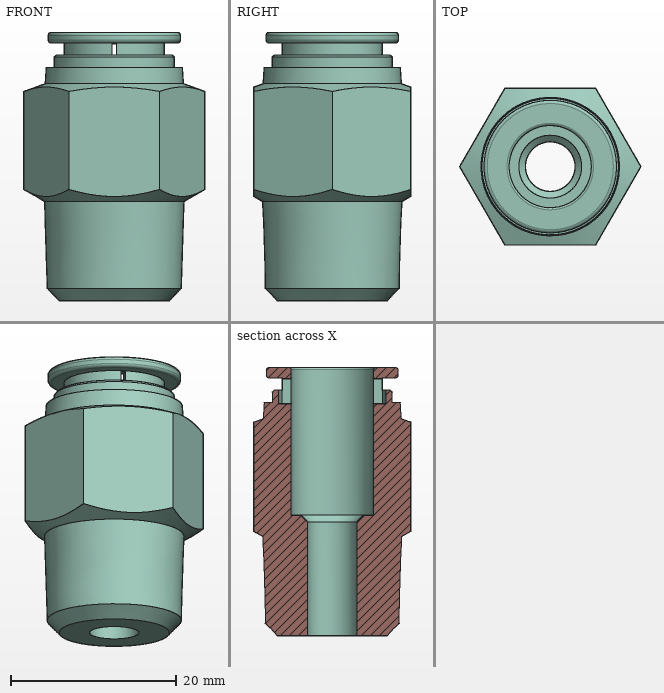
import cadquery as cq
import math

total_height = 32.5
thread_chamfer_top = 1.53
hex_bottom = 12.02
hex_top = 26.3
collar_top = 28.28
ring_top = 29.77
flange_thickness = 1.3
flange_bottom = total_height - flange_thickness

hex_across_flats = 19.0
hex_across_corners = hex_across_flats / math.cos(math.radians(30))
hex_bottom_chamfer_angle = 30.0
hex_top_chamfer_angle = 20.0

thread_tip_radius = 6.65
thread_low_radius = 8.12
thread_taper = 1 / 16
thread_high_radius = thread_low_radius + (hex_bottom - thread_chamfer_top) * thread_taper / 2
collar_low_radius = 8.4
collar_high_radius = 8.25
ring_radius = 7.28
ring_chamfer = 0.25
ring_bore_radius = 6.47
neck_radius = 6.08
flange_radius = 8.03
flange_fillet = 0.4

passage_radius = 3.0
countersink_radius = 3.8
tube_bore_radius = 4.97
tube_bore_floor = 14.62
mouth_fillet = 0.25
slot_width = 0.52
slot_bottom = 28.1
slot_top = 31.1


def cone(low_radius, high_radius, bottom, top):
    """Solid of revolution about Z with straight sides between two heights."""
    profile = [(0, bottom), (low_radius, bottom), (high_radius, top), (0, top)]
    return cq.Workplane("XZ").polyline(profile).close().revolve(360, (0, 0, 0), (0, 1, 0))


def cylinder(radius, bottom, top):
    return cq.Workplane("XY").workplane(offset=bottom).circle(radius).extrude(top - bottom)


def hex_body():
    """Hexagon with corners on X, its corners turned off by a cone at each end."""
    prism = (
        cq.Workplane("XY")
        .workplane(offset=hex_bottom)
        .polygon(6, hex_across_corners)
        .extrude(hex_top - hex_bottom)
    )
    corner_radius = hex_across_corners / 2
    bottom_rise = (corner_radius - thread_high_radius) * math.tan(math.radians(hex_bottom_chamfer_angle))
    top_drop = (corner_radius - collar_low_radius) * math.tan(math.radians(hex_top_chamfer_angle))
    envelope = (
        cq.Workplane("XZ")
        .moveTo(0, hex_bottom)
        .lineTo(thread_high_radius, hex_bottom)
        .lineTo(corner_radius, hex_bottom + bottom_rise)
        .lineTo(corner_radius, hex_top - top_drop)
        .lineTo(collar_low_radius, hex_top)
        .lineTo(0, hex_top)
        .close()
        .revolve(360, (0, 0, 0), (0, 1, 0))
    )
    return prism.intersect(envelope)


def threaded_end():
    """Tapered thread blank with a chamfered tip."""
    tip = cone(thread_tip_radius, thread_low_radius, 0, thread_chamfer_top)
    shank = cone(thread_low_radius, thread_high_radius, thread_chamfer_top, hex_bottom)
    return tip.union(shank)


def collar_and_ring():
    """Slightly tapered collar above the hexagon, with a chamfered ring on it."""
    collar = cone(collar_low_radius, collar_high_radius, hex_top, collar_top)
    ring = cylinder(ring_radius, collar_top, ring_top).faces(">Z").edges().chamfer(ring_chamfer)
    return collar.union(ring)


def release_sleeve():
    """Neck carrying the rounded release flange."""
    neck = cylinder(neck_radius, ring_top, flange_bottom)
    flange = cylinder(flange_radius, flange_bottom, total_height).edges().fillet(flange_fillet)
    return neck.union(flange)


def clearance_groove():
    """Annular gap between the ring and the sleeve, as deep as the release slots."""
    outer = cylinder(ring_bore_radius, slot_bottom, ring_top)
    inner = cylinder(neck_radius, slot_bottom, ring_top)
    return outer.cut(inner)


def bore():
    """Through passage opening by a countersink into the wider tube bore."""
    passage = cylinder(passage_radius, 0, tube_bore_floor)
    countersink_depth = countersink_radius - passage_radius
    countersink = cone(passage_radius, countersink_radius, tube_bore_floor - countersink_depth, tube_bore_floor)
    tube_bore = cylinder(tube_bore_radius, tube_bore_floor, total_height)
    return passage.union(countersink).union(tube_bore)


def release_slots():
    """One cut along Y that slots the sleeve wall on both sides, below the flange."""
    slot_height = slot_top - slot_bottom
    return (
        cq.Workplane("XY")
        .workplane(offset=slot_bottom)
        .rect(slot_width, 2 * neck_radius)
        .extrude(slot_height)
    )


body = threaded_end().union(hex_body()).union(collar_and_ring()).union(release_sleeve())
body = body.cut(clearance_groove()).cut(bore())
smallest_edge = cq.selectors.RadiusNthSelector(0)
body = body.faces(">Z").edges(smallest_edge).fillet(mouth_fillet)
result = body.cut(release_slots())